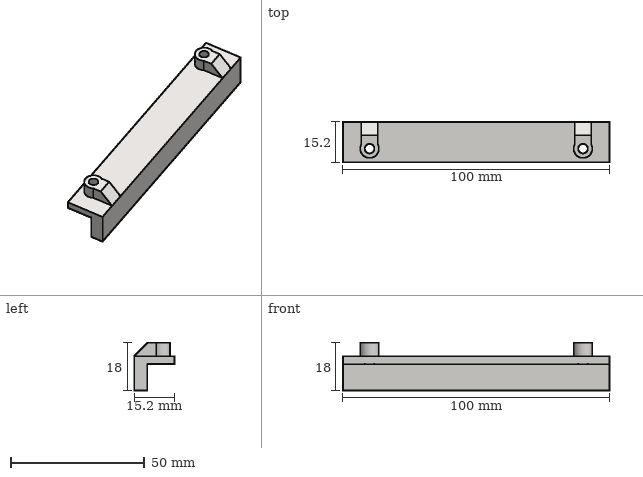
import cadquery as cq

length = 100.0
depth = 15.2
plate_thickness = 3.0
wall_thickness = 5.0
wall_height = 10.0

boss_height = 5.0
boss_diameter = 7.0
hole_diameter = 3.5
boss_end_distance = 10.0
boss_back_distance = 10.0
rib_width = 6.1
rib_slope_run = 5.0

boss_offset = length / 2 - boss_end_distance
boss_positions = [(-boss_offset, -boss_back_distance), (boss_offset, -boss_back_distance)]


def make_wall():
    """Upright wall along the back edge, under the plate."""
    return (
        cq.Workplane("XY")
        .box(length, wall_thickness, wall_height, centered=(True, False, False))
        .translate((0, -wall_thickness, -plate_thickness - wall_height))
    )


def make_boss(x, y):
    """Round boss with a rib that slopes down to the back edge."""
    boss = cq.Workplane("XY").center(x, y).circle(boss_diameter / 2).extrude(boss_height)
    rib = (
        cq.Workplane("YZ")
        .polyline([(0, 0), (-rib_slope_run, boss_height), (y, boss_height), (y, 0)])
        .close()
        .extrude(rib_width / 2, both=True)
        .translate((x, 0, 0))
    )
    return boss.union(rib)


def make_plate():
    """Flat plate with two bosses, each drilled right through."""
    plate = (
        cq.Workplane("XY")
        .box(length, depth, plate_thickness, centered=(True, False, False))
        .translate((0, -depth, -plate_thickness))
    )
    for x, y in boss_positions:
        plate = plate.union(make_boss(x, y))
    holes = (
        cq.Workplane("XY", origin=(0, 0, -plate_thickness))
        .pushPoints(boss_positions)
        .circle(hole_diameter / 2)
        .extrude(plate_thickness + boss_height)
    )
    return plate.cut(holes)


def make_bracket():
    """Angle bracket: the drilled plate and its wall in one piece."""
    return make_plate().union(make_wall())


bracket = make_bracket()

result = cq.Compound.makeCompound([bracket.val()])